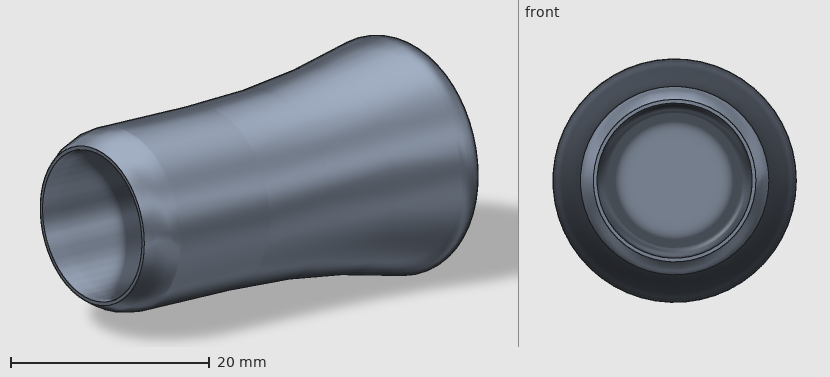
import cadquery as cq
import math

length = 42.0
head_radius = 12.25

neck_radius = 9.5
flare_start = 15.37
tip_length = 3.75
tip_arc_radius = 6.0

head_round = 3.0

bore_radius = 7.8
bore_depth = 36.95
bore_floor_round = 1.0

tip_center_radius = neck_radius - tip_arc_radius


def tip_radius_at(y):
    """Outer radius of the rounded tip at height y."""
    drop = tip_length - y
    return tip_center_radius + math.sqrt(tip_arc_radius**2 - drop**2)


round_center_radius = head_radius - head_round
round_center_y = length - head_round
center_offset = round_center_radius - neck_radius
center_height = round_center_y - flare_start
flare_arc_radius = (center_offset**2 + center_height**2 - head_round**2) / (2 * (center_offset + head_round))
flare_center_radius = neck_radius + flare_arc_radius
flare_angle = math.asin(center_height / (flare_arc_radius + head_round))


def flare_point(angle):
    """Point (radius, y) on the flare, at an angle from its neck end."""
    return (
        flare_center_radius - flare_arc_radius * math.cos(angle),
        flare_start + flare_arc_radius * math.sin(angle),
    )


def head_round_point(angle):
    """Point (radius, y) on the head rounding, at an angle from the radial direction."""
    return (
        round_center_radius + head_round * math.cos(angle),
        round_center_y + head_round * math.sin(angle),
    )


def make_body():
    head_mid_angle = (math.pi / 2 - flare_angle) / 2
    profile = (
        cq.Workplane("XY")
        .lineTo(tip_radius_at(0), 0)
        .threePointArc((tip_radius_at(tip_length / 2), tip_length / 2), (neck_radius, tip_length))
        .lineTo(neck_radius, flare_start)
        .threePointArc(flare_point(flare_angle / 2), flare_point(flare_angle))
        .threePointArc(head_round_point(head_mid_angle), (round_center_radius, length))
        .lineTo(0, length)
        .close()
    )
    return profile.revolve(360, (0, 0, 0), (0, 1, 0))


def make_bore():
    bore = cq.Workplane("XZ").circle(bore_radius).extrude(-bore_depth)
    return bore.faces(">Y").edges().fillet(bore_floor_round)


result = make_body().cut(make_bore())